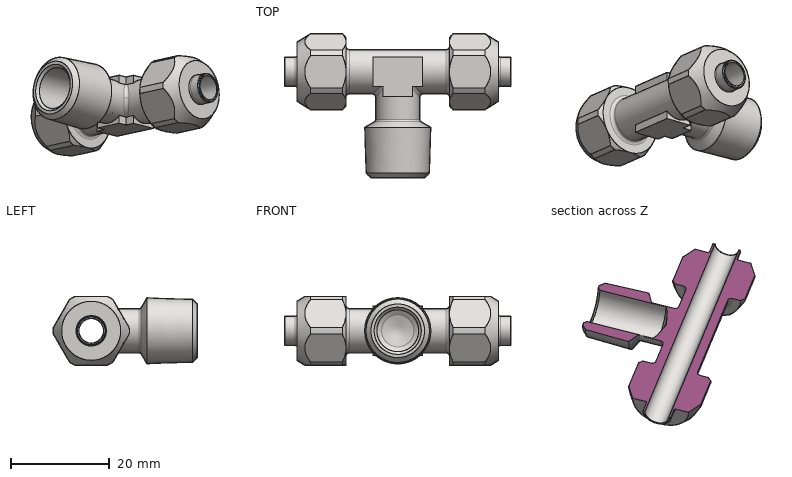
import cadquery as cq
import math

overall_length = 46.0
overall_depth = 29.25
run_half = overall_length / 2
bore_radius = 2.5
pipe_radius = 4.5
root_fillet = 0.7

stub_radius = 3.0
stub_end_chamfer = 0.2
flare_radius = 3.1
flare_length = 0.35

nut_across_flats = 14.0
nut_corner_radius = 7.75
nut_outer_x = 20.45
nut_inner_x = 10.5
nut_face_radius = 6.0
nut_face_angle = math.radians(32)
nut_back_chamfer = 0.75
nut_turn = 90.0

branch_end = overall_depth - nut_corner_radius
thread_start = 11.25
thread_large_radius = 6.7
thread_taper = 1 / 32
thread_chamfer = 0.95
shoulder_angle = math.radians(60)
shoulder_fillet = 0.45

mouth_radius = 4.8
branch_bore_radius = 4.25
bottom_radius = 3.25
bottom_start = 6.9
bottom_wall_angle = math.radians(59)
bottom_tip_angle = math.radians(75)

block_height = 10.05
block_length = 10.1
block_width = 6.0
block_reach = 5.0


def cylinder_x(radius, start, end):
    return cq.Workplane("YZ").workplane(offset=start).circle(radius).extrude(end - start)


def revolve_about_x(points):
    """Solid of revolution about X from (x, radius) points."""
    return cq.Workplane("XY").polyline(points).close().revolve(360, (0, 0, 0), (1, 0, 0))


def revolve_about_branch(profile):
    """Solid of revolution about Y from an open (radius, y) outline starting and ending on the axis."""
    return profile.close().revolve(360, (0, 0, 0), (0, 1, 0))


def make_nut():
    """Hexagon trimmed by a turned envelope that chamfers both ends."""
    hexagon = (
        cq.Workplane("YZ")
        .workplane(offset=nut_inner_x)
        .polygon(6, nut_across_flats, circumscribed=True)
        .extrude(nut_outer_x - nut_inner_x)
        .rotate((0, 0, 0), (1, 0, 0), nut_turn)
    )
    face_chamfer_length = (nut_corner_radius - nut_face_radius) / math.tan(nut_face_angle)
    envelope = revolve_about_x([
        (nut_inner_x, 0),
        (nut_inner_x, nut_corner_radius - nut_back_chamfer),
        (nut_inner_x + nut_back_chamfer, nut_corner_radius),
        (nut_outer_x - face_chamfer_length, nut_corner_radius),
        (nut_outer_x, nut_face_radius),
        (nut_outer_x, 0),
    ])
    return hexagon.intersect(envelope)


def make_stub():
    """Tube end with a chamfered tip and a slight flare at the nut."""
    return revolve_about_x([
        (nut_outer_x, 0),
        (nut_outer_x, flare_radius),
        (nut_outer_x + flare_length, stub_radius),
        (run_half - stub_end_chamfer, stub_radius),
        (run_half, stub_radius - stub_end_chamfer),
        (run_half, 0),
    ])


def make_root_fillet():
    """Concave ring easing the pipe into the back of the nut."""
    tangent_x = nut_inner_x - root_fillet
    outer_radius = pipe_radius + root_fillet
    sag = root_fillet * math.sqrt(0.5)
    return (
        cq.Workplane("XY")
        .moveTo(tangent_x, 0)
        .lineTo(tangent_x, pipe_radius)
        .threePointArc((tangent_x + sag, outer_radius - sag), (nut_inner_x, outer_radius))
        .lineTo(nut_inner_x, 0)
        .close()
        .revolve(360, (0, 0, 0), (1, 0, 0))
    )


def make_branch():
    """Branch pipe, shoulder cone and tapered male end turned in one piece."""
    shoulder_run = (thread_large_radius - pipe_radius) / math.tan(shoulder_angle)
    tip_radius = thread_large_radius - (branch_end - thread_start) * thread_taper
    chamfer_start_radius = tip_radius + thread_chamfer * thread_taper
    half_turn = shoulder_angle / 2
    tangent = shoulder_fillet * math.tan(half_turn)
    corner_y = -(thread_start - shoulder_run)
    fillet_center_radius = pipe_radius + shoulder_fillet
    fillet_mid = (
        fillet_center_radius - shoulder_fillet * math.cos(half_turn),
        corner_y + tangent - shoulder_fillet * math.sin(half_turn),
    )
    fillet_end = (
        pipe_radius + tangent * math.sin(shoulder_angle),
        corner_y - tangent * math.cos(shoulder_angle),
    )
    return revolve_about_branch(
        cq.Workplane("XY")
        .moveTo(0, 0)
        .lineTo(pipe_radius, 0)
        .lineTo(pipe_radius, corner_y + tangent)
        .threePointArc(fillet_mid, fillet_end)
        .lineTo(thread_large_radius, -thread_start)
        .lineTo(chamfer_start_radius, -(branch_end - thread_chamfer))
        .lineTo(tip_radius - thread_chamfer, -branch_end)
        .lineTo(0, -branch_end)
    )


def make_pipe_tee():
    """Run pipe joined to the branch, with the crossing corner rounded."""
    tee = cylinder_x(pipe_radius, -nut_inner_x, nut_inner_x).union(make_branch())
    crossing = tee.edges("%ELLIPSE")
    return tee.newObject(crossing.vals()).fillet(root_fillet)


def make_block():
    """Bar along the run with a leg of equal width reaching along the branch."""
    cross_bar = cq.Workplane("XY").box(block_length, block_width, block_height)
    leg = cq.Workplane("XY").box(block_width, block_reach, block_height)
    leg = leg.translate((0, -block_reach / 2, 0))
    return cross_bar.union(leg)


def make_branch_bore():
    """Countersunk blind bore that stops short of the run bore."""
    mouth_depth = mouth_radius - branch_bore_radius
    wall_depth = (branch_bore_radius - bottom_radius) / math.tan(bottom_wall_angle)
    tip_depth = bottom_radius / math.tan(bottom_tip_angle)
    return revolve_about_branch(
        cq.Workplane("XY")
        .moveTo(0, -branch_end)
        .lineTo(mouth_radius, -branch_end)
        .lineTo(branch_bore_radius, -(branch_end - mouth_depth))
        .lineTo(branch_bore_radius, -bottom_start)
        .lineTo(bottom_radius, -(bottom_start - wall_depth))
        .lineTo(0, -(bottom_start - wall_depth - tip_depth))
    )


run_end = make_nut().union(make_stub()).union(make_root_fillet())
body = (
    make_pipe_tee()
    .union(make_block())
    .union(run_end)
    .union(run_end.mirror("YZ"))
)
result = body.cut(cylinder_x(bore_radius, -run_half, run_half)).cut(make_branch_bore())